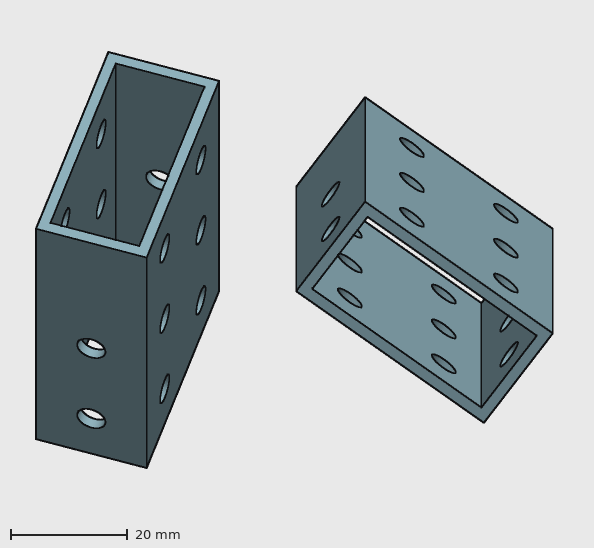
import cadquery as cq

height = 60.0
pitch = height / 3
width = pitch
depth = 2 * pitch
wall = 2.0
hole_diameter = 5.1

row_heights = [(row + 0.5) * pitch for row in range(3)]
wide_wall_points = [(y, z) for y in (-pitch / 2, pitch / 2) for z in row_heights]
narrow_wall_points = [(0, z) for z in row_heights[:2]]


def make_tube():
    outer = cq.Workplane("XY").rect(width, depth).extrude(height)
    bore = cq.Workplane("XY").rect(width - 2 * wall, depth - 2 * wall).extrude(height)
    return outer.cut(bore)


def through_holes(plane, points, span):
    """Cylinders of length span, centred on the plane, to cut opposite walls."""
    return cq.Workplane(plane).pushPoints(points).circle(hole_diameter / 2).extrude(span / 2, both=True)


tube = make_tube()
tube = tube.cut(through_holes("YZ", wide_wall_points, width))
result = tube.cut(through_holes("XZ", narrow_wall_points, depth))